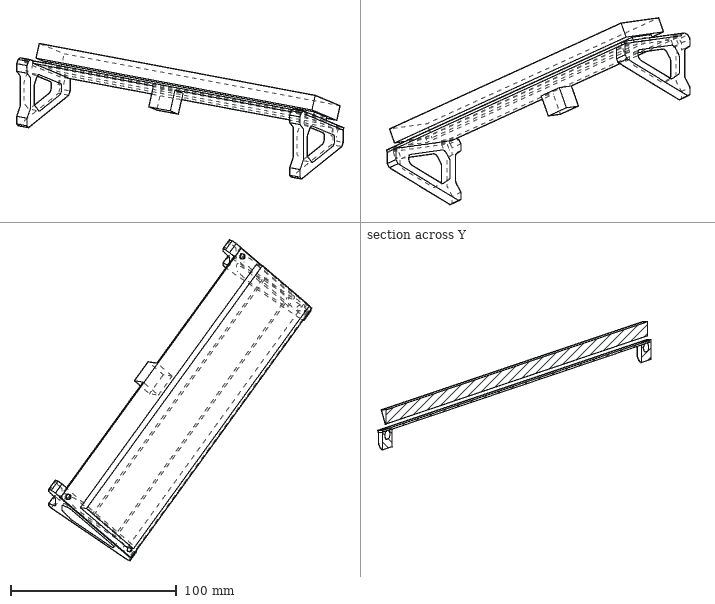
import cadquery as cq
import math

tilt_angle = 30.0
panel_width = 190.0
plate_length = 60.0
plate_thickness = 1.5
slab_width = 185.0
slab_length = 40.0
slab_thickness = 9.12
slab_setback = 13.0
spacer_width = 180.0
spacer_length = 20.0
spacer_height = 3.0
connector_width = 14.5
connector_length = 13.0
connector_height = 13.0

hole_diameter = 3.2
hole_end_inset = 4.0
hole_depth_in_leg = 5.0

leg_thickness = 7.0
leg_depth = 60.0
leg_height = 43.5
corner_chamfer = 2.0
crest_depth = 5.0
foot_face_height = 7.0
front_notch_depth = 5.0
inner_fillet = 3.0
post_thickness = 5.0
base_thickness = 5.0
back_wall_thickness = 12.0
beam_thickness = 5.0
lower_gusset = 7.0
window_front_top = 25.0

slope = math.tan(math.radians(tilt_angle))
plate_front_y = 8.84
plate_front_z = leg_height - (plate_front_y - crest_depth) * slope

plate_plane = cq.Plane(
    origin=(0, plate_front_y, plate_front_z),
    xDir=(1, 0, 0),
    normal=(0, math.sin(math.radians(tilt_angle)), math.cos(math.radians(tilt_angle))),
)


def tilted_box(width, setback, length, bottom, height):
    """Box centred in X, starting `setback` down the slope and `bottom` above the plate's top."""
    return (
        cq.Workplane(plate_plane)
        .workplane(offset=bottom)
        .center(0, setback + length / 2)
        .rect(width, length)
        .extrude(height)
    )


def mounting_holes(depth):
    """Four cylinders running down from the plate's top face, square to it."""
    hole_x = (panel_width - leg_thickness) / 2
    positions = [
        (side * hole_x, y)
        for side in (-1, 1)
        for y in (hole_end_inset, plate_length - hole_end_inset)
    ]
    return cq.Workplane(plate_plane).pushPoints(positions).circle(hole_diameter / 2).extrude(-depth)


def make_panel():
    plate = tilted_box(panel_width, 0, plate_length, -plate_thickness, plate_thickness)
    spacer_setback = slab_setback + (slab_length - spacer_length) / 2
    spacer = tilted_box(spacer_width, spacer_setback, spacer_length, 0, spacer_height)
    slab = tilted_box(slab_width, slab_setback, slab_length, spacer_height, slab_thickness)
    connector_bottom = -plate_thickness - connector_height
    connector = tilted_box(connector_width, 0, connector_length, connector_bottom, connector_height)
    return plate.cut(mounting_holes(plate_thickness)).union(spacer).union(slab).union(connector)


def window_cutter():
    """Opening enclosed by the base, the back wall, the sloped beam and the front post."""
    front = front_notch_depth + post_thickness
    back = leg_depth - back_wall_thickness
    drop = (plate_thickness + beam_thickness) / math.cos(math.radians(tilt_angle))

    def beam_underside(y):
        return leg_height - (y - crest_depth) * slope - drop

    upper_gusset = (beam_underside(front) - window_front_top) / (1 + slope)

    outline = [
        (front + lower_gusset, base_thickness),
        (back, base_thickness),
        (back, beam_underside(back)),
        (front + upper_gusset, window_front_top + upper_gusset),
        (front, window_front_top),
        (front, base_thickness + lower_gusset),
    ]
    cutter = cq.Workplane("YZ").polyline(outline).close().extrude(leg_thickness)
    return cutter.edges("|X").fillet(inner_fillet)


def make_leg(left_x):
    head_face_bottom = leg_height - foot_face_height
    notch_bottom = foot_face_height + front_notch_depth
    notch_top = head_face_bottom - front_notch_depth
    outline = [
        (corner_chamfer, 0),
        (leg_depth - corner_chamfer, 0),
        (leg_depth, corner_chamfer),
        (leg_depth, leg_height - (leg_depth - crest_depth) * slope),
        (crest_depth, leg_height),
        (corner_chamfer, leg_height),
        (0, leg_height - corner_chamfer),
        (0, head_face_bottom),
        (front_notch_depth, notch_top),
        (front_notch_depth, notch_bottom),
        (0, foot_face_height),
        (0, corner_chamfer),
    ]
    leg = cq.Workplane("YZ").polyline(outline).close().extrude(leg_thickness)
    for z in (notch_bottom, notch_top):
        corner = cq.selectors.NearestToPointSelector((leg_thickness / 2, front_notch_depth, z))
        leg = leg.edges("|X").edges(corner).fillet(inner_fillet)
    leg = leg.cut(window_cutter()).translate((left_x, 0, 0))
    seat = tilted_box(panel_width, 0, 2 * plate_length, -plate_thickness, 2 * plate_thickness)
    return leg.cut(seat).cut(mounting_holes(plate_thickness + hole_depth_in_leg))


panel = make_panel()
legs = [make_leg(x) for x in (-panel_width / 2, panel_width / 2 - leg_thickness)]

result = cq.Compound.makeCompound([panel.val(), *[leg.val() for leg in legs]])